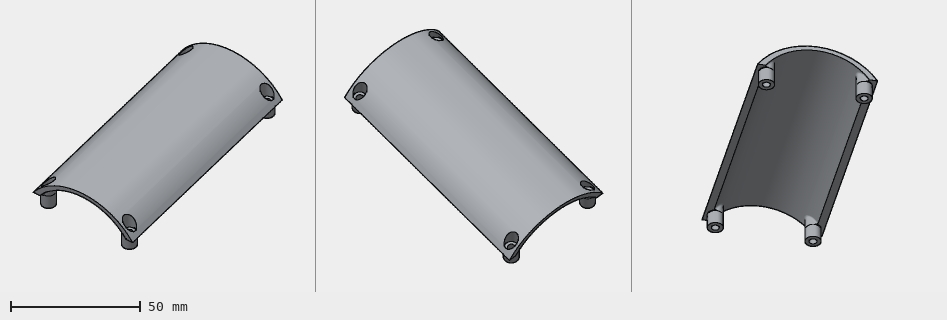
import cadquery as cq

length = 98.15
width = 47.5
rise = 12.8
crown_thickness = 2.0
inner_width = 41.0

leg_diameter = 6.3
leg_drop = 6.3
leg_x = 19.3
leg_end_inset = 4.0
leg_y = length / 2 - leg_end_inset
hole_diameter = 3.0
counterbore_diameter = 5.5
leg_fillet = 0.8

inner_rise = rise - crown_thickness
leg_height = leg_drop + rise
leg_points = [(sx * leg_x, sy * leg_y) for sx in (-1, 1) for sy in (-1, 1)]


def arch(span, height):
    """Solid segment of a cylinder along Y with a flat base at Z = 0."""
    return (
        cq.Workplane("XZ")
        .moveTo(-span / 2, 0)
        .threePointArc((0, height), (span / 2, 0))
        .close()
        .extrude(length / 2, both=True)
    )


def posts(diameter, bottom, height):
    """Upright cylinders on the four leg axes."""
    return (
        cq.Workplane("XY", origin=(0, 0, bottom))
        .pushPoints(leg_points)
        .circle(diameter / 2)
        .extrude(height)
    )


outer_arch = arch(width, rise)
cover = outer_arch.cut(arch(inner_width, inner_rise))

upper_legs = posts(leg_diameter, -leg_drop, leg_height).intersect(outer_arch)
lower_legs = posts(leg_diameter, -leg_drop, leg_drop)
body = cover.union(upper_legs.union(lower_legs))

joint_zone = cq.selectors.BoxSelector(
    (-width, -length / 2 + leg_fillet, leg_fillet),
    (width, length / 2 - leg_fillet, inner_rise - leg_fillet),
)
body = body.edges(joint_zone).edges("not |Z").fillet(leg_fillet)

result = (
    body.cut(posts(hole_diameter, -leg_drop, leg_drop))
    .cut(posts(counterbore_diameter, 0, rise))
)